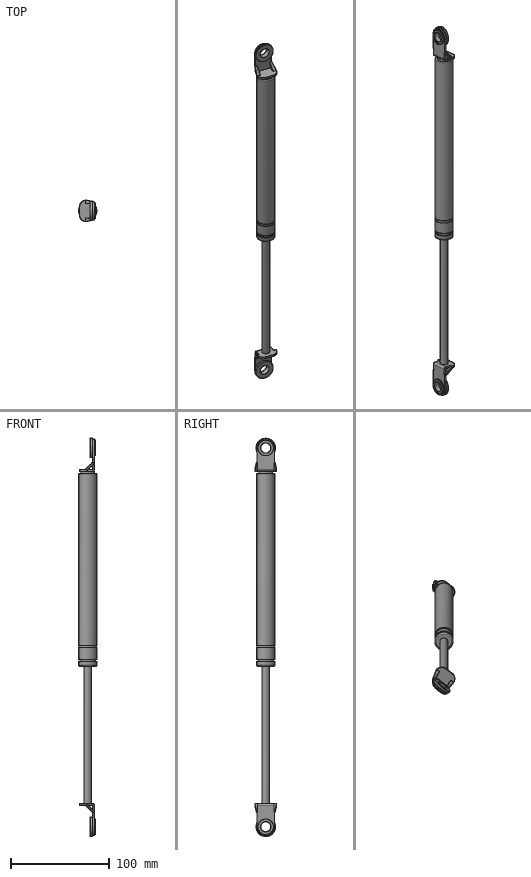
import cadquery as cq
import math

total_length = 405.0
seat_height = 33.5

cylinder_diameter = 18.5
cylinder_bottom = 173.0
neck_diameter = 13.8
neck_length = 2.5
cylinder_top_round = 0.5
cylinder_bottom_round = 1.5
end_groove_bottom = 177.8
end_groove_width = 2.5
end_groove_depth = 1.2
bead_groove_bottom = 192.0
bead_groove_width = 2.5
bead_groove_depth = 0.5

rod_diameter = 8.0

bushing_diameter = 20.0
back_flange_diameter = 15.8
bore_diameter = 10.0
barrel_diameter = 13.8
front_flange_thickness = 2.5
back_flange_thickness = 1.2

sheet_thickness = 2.0
plate_face = 5.0
eye_width = 18.2
seat_width = 22.0
seat_front = -8.5
seat_corner_radius = 7.0
taper_start_x = -1.2
fold_start_x = -2.23
corner_width = 17.0
corner_wall = 1.2

plate_back = plate_face + sheet_thickness
eye_z = bushing_diameter / 2
seat_inner_z = seat_height - sheet_thickness
fold_end_z = seat_inner_z - (plate_face - fold_start_x)
outer_fold_sum = fold_start_x + seat_inner_z + math.sqrt(2) * sheet_thickness
cylinder_top = total_length - seat_height - neck_length


def disc(diameter, x_start, thickness):
    """Disc along X, centred on the lower eye."""
    return (
        cq.Workplane("YZ", origin=(x_start, 0, eye_z))
        .circle(diameter / 2)
        .extrude(thickness)
    )


def ring_groove(bottom, width, depth):
    """Ring that cuts a groove around the cylinder."""
    return (
        cq.Workplane("XY", origin=(0, 0, bottom))
        .circle(cylinder_diameter)
        .circle(cylinder_diameter / 2 - depth)
        .extrude(width)
    )


def make_cylinder():
    body = (
        cq.Workplane("XY", origin=(0, 0, cylinder_bottom))
        .circle(cylinder_diameter / 2)
        .extrude(cylinder_top - cylinder_bottom)
        .faces(">Z")
        .edges()
        .fillet(cylinder_top_round)
        .faces("<Z")
        .edges()
        .fillet(cylinder_bottom_round)
    )
    body = body.cut(ring_groove(end_groove_bottom, end_groove_width, end_groove_depth))
    body = body.cut(ring_groove(bead_groove_bottom, bead_groove_width, bead_groove_depth))
    neck = (
        cq.Workplane("XY", origin=(0, 0, cylinder_top))
        .circle(neck_diameter / 2)
        .extrude(neck_length)
    )
    return body.union(neck)


def make_rod():
    """Rod from the lower bracket seat to the end face of the cylinder."""
    return (
        cq.Workplane("XY", origin=(0, 0, seat_height))
        .circle(rod_diameter / 2)
        .extrude(cylinder_bottom - seat_height)
    )


def extrude_profile(points, width):
    """Prism of an XZ outline, centred across Y."""
    return cq.Workplane("XZ").polyline(points).close().extrude(width / 2, both=True)


def make_folded_seat():
    """Seat that runs into the eye plate through a 45 degree fold."""
    return extrude_profile(
        [
            (seat_front, seat_inner_z),
            (fold_start_x, seat_inner_z),
            (plate_face, fold_end_z),
            (plate_back, fold_end_z),
            (plate_back, outer_fold_sum - plate_back),
            (outer_fold_sum - seat_height, seat_height),
            (seat_front, seat_height),
        ],
        seat_width,
    )


def make_corner():
    """Square corner pressed out of the middle of the fold."""
    return extrude_profile(
        [
            (fold_start_x, seat_inner_z),
            (plate_face, seat_inner_z),
            (plate_face, fold_end_z),
            (plate_back, fold_end_z),
            (plate_back, seat_height),
            (fold_start_x, seat_height),
        ],
        corner_width,
    ).edges("|Y and >X and >Z").fillet(sheet_thickness)


def make_corner_space():
    """Hollow on the bushing side of the square corner."""
    return extrude_profile(
        [
            (fold_start_x, seat_inner_z),
            (plate_face, seat_inner_z),
            (plate_face, fold_end_z),
        ],
        corner_width - 2 * corner_wall,
    )


def make_plan():
    """Column with the plan outline of the seat: round front corners, tapered back."""
    half_seat = seat_width / 2
    half_eye = eye_width / 2
    return (
        cq.Workplane("XY", origin=(0, 0, fold_end_z))
        .moveTo(seat_front, -half_seat)
        .lineTo(taper_start_x, -half_seat)
        .lineTo(plate_back, -half_eye)
        .lineTo(plate_back, half_eye)
        .lineTo(taper_start_x, half_seat)
        .lineTo(seat_front, half_seat)
        .close()
        .extrude(seat_height - fold_end_z)
        .edges("|Z and <X")
        .fillet(seat_corner_radius)
    )


def make_eye_plate():
    """Upright plate with a round end around the bushing."""
    half_width = eye_width / 2
    return (
        cq.Workplane("YZ", origin=(plate_face, 0, 0))
        .moveTo(-half_width, fold_end_z)
        .lineTo(-half_width, eye_z)
        .threePointArc((0, eye_z - half_width), (half_width, eye_z))
        .lineTo(half_width, fold_end_z)
        .close()
        .extrude(sheet_thickness)
    )


def make_bracket():
    seat = make_folded_seat().intersect(make_plan())
    bracket = seat.union(make_corner()).cut(make_corner_space()).union(make_eye_plate())
    return bracket.cut(disc(barrel_diameter, plate_face, sheet_thickness))


def make_bushing():
    """Flanged bushing clamped through the eye plate."""
    front_flange = disc(bushing_diameter, plate_face - front_flange_thickness, front_flange_thickness)
    barrel = disc(barrel_diameter, plate_face, sheet_thickness)
    back_flange = disc(back_flange_diameter, plate_back, back_flange_thickness)
    bushing_length = front_flange_thickness + sheet_thickness + back_flange_thickness
    bore = disc(bore_diameter, plate_face - front_flange_thickness, bushing_length)
    return front_flange.union(barrel).union(back_flange).cut(bore)


def place_at_end(body, is_upper):
    """Keep a lower-end body in place, or mirror it to the upper end."""
    if not is_upper:
        return body
    return body.mirror("XY", (0, 0, total_length / 2))


cylinder = make_cylinder()
rod = make_rod()
brackets = []
bushings = []
for is_upper in (False, True):
    brackets.append(place_at_end(make_bracket(), is_upper).val())
    bushings.append(place_at_end(make_bushing(), is_upper).val())

result = cq.Compound.makeCompound([cylinder.val(), rod.val(), *brackets, *bushings])